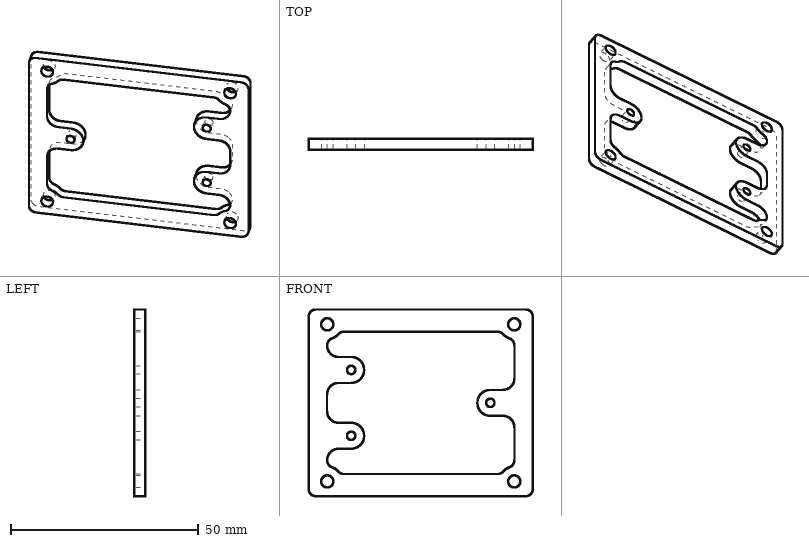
import cadquery as cq
import math

plate_width = 60.0
plate_height = 50.0
plate_thickness = 3.0
plate_corner_radius = 2.0

side_rail = 5.0
end_rail = 6.0
window_width = plate_width - 2 * side_rail
window_height = plate_height - 2 * end_rail
window_side = window_width / 2
window_top = window_height / 2

mount_hole_diameter = 3.2
mount_x = window_side
mount_z = 21.0
pad_radius = 4.0
pad_blend_radius = 2.0

tab_radius = 3.5
tab_blend_radius = 3.0
tab_hole_diameter = 2.2
tab_hole_x = 18.6
left_tab_pitch = 17.6
tabs = [(-1, left_tab_pitch / 2), (-1, -left_tab_pitch / 2), (1, 0.0)]

pick = 0.05

mount_points = [(sx * mount_x, sz * mount_z) for sx in (-1, 1) for sz in (-1, 1)]
tab_hole_points = [(side * tab_hole_x, z) for side, z in tabs]


def block(width, height, x=0.0, z=0.0):
    """Rectangular block of plate thickness centred at (x, z)."""
    return cq.Workplane("XY").box(width, plate_thickness, height).translate((x, 0, z))


def discs(points, diameter):
    """Round bars of plate thickness along Y, one at each (x, z) point."""
    profile = cq.Workplane("XZ").pushPoints(points).circle(diameter / 2)
    return profile.extrude(plate_thickness / 2, both=True)


def tab(side, z):
    """Tab from the middle of the side rail to its rounded tip."""
    root_x = window_side + side_rail / 2
    straight = block(root_x - tab_hole_x, 2 * tab_radius, side * (root_x + tab_hole_x) / 2, z)
    return straight.union(discs([(side * tab_hole_x, z)], 2 * tab_radius))


def blend(body, points, radius):
    """Fillet the edges running along Y through the given (x, z) points."""
    picked = []
    for x, z in points:
        low = (x - pick, -plate_thickness, z - pick)
        high = (x + pick, plate_thickness, z + pick)
        region = cq.selectors.BoxSelector(low, high)
        picked += body.edges("|Y").edges(region).vals()
    return body.newObject(picked).fillet(radius)


frame = block(plate_width, plate_height).edges("|Y").fillet(plate_corner_radius)
frame = frame.cut(block(window_width, window_height))

frame = frame.union(discs(mount_points, 2 * pad_radius))
for side, z in tabs:
    frame = frame.union(tab(side, z))

pad_reach_x = math.sqrt(pad_radius**2 - (mount_z - window_top) ** 2)
pad_corners = []
for sx in (-1, 1):
    for sz in (-1, 1):
        pad_corners.append((sx * (mount_x - pad_reach_x), sz * window_top))
        pad_corners.append((sx * window_side, sz * (mount_z - pad_radius)))
tab_corners = [(side * window_side, z + edge * tab_radius) for side, z in tabs for edge in (-1, 1)]
frame = blend(frame, pad_corners, pad_blend_radius)
frame = blend(frame, tab_corners, tab_blend_radius)

frame = frame.cut(discs(mount_points, mount_hole_diameter))
result = frame.cut(discs(tab_hole_points, tab_hole_diameter))